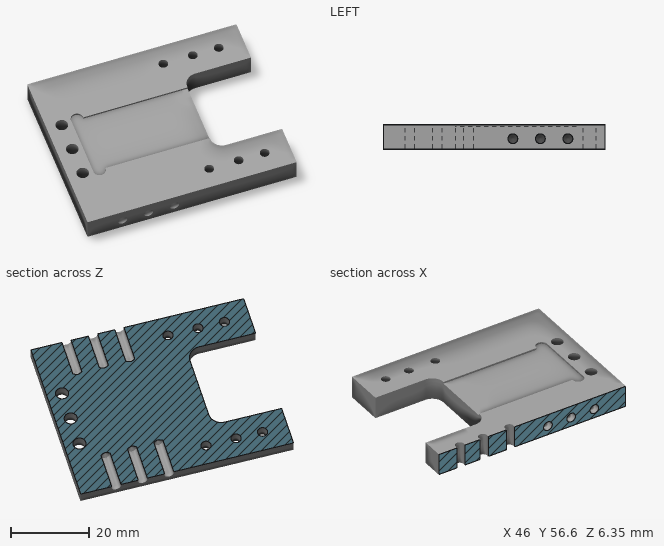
import cadquery as cq
import math

WIDTH = 46.0
LENGTH = 56.6
THICKNESS = 6.35

NOTCH_WIDTH = 23.75
NOTCH_DEPTH = 18.4
NOTCH_CORNER_DIAMETER = 6.5
NOTCH_FLOOR_Y = LENGTH - NOTCH_DEPTH

POCKET_WIDTH = 16.85
POCKET_DEPTH = 0.5
POCKET_FRONT_Y = 6.75
RELIEF_LENGTH = 20.35
RELIEF_WIDTH = 3.2

ARM_HOLE_DIAMETER = 2.5
ARM_HOLE_SPACING = 35.0
ARM_HOLE_YS = (34.85, 42.85, 49.85)
FRONT_HOLE_DIAMETER = 3.2
FRONT_HOLE_PITCH = 8.0
FRONT_HOLE_Y = 4.0

SIDE_HOLE_DIAMETER = 2.5
SIDE_HOLE_DEPTH = 10.0
SIDE_HOLE_PITCH = 7.0
SIDE_HOLE_FIRST_Y = 9.5
SIDE_HOLE_Z = 2.7
DRILL_POINT_ANGLE = 118.0
SIDE_HOLE_COUNT = 3


def make_plate():
    plate = cq.Workplane("XY").box(WIDTH, LENGTH, THICKNESS, centered=(True, False, False))
    notch = (
        cq.Workplane("XY")
        .center(0, NOTCH_FLOOR_Y)
        .box(NOTCH_WIDTH, NOTCH_DEPTH, THICKNESS, centered=(True, False, False))
        .edges("|Z and <Y")
        .fillet(NOTCH_CORNER_DIAMETER / 2)
    )
    return plate.cut(notch)


def make_pocket():
    floor = cq.Workplane("XY").workplane(offset=THICKNESS - POCKET_DEPTH)
    relief_y = POCKET_FRONT_Y + RELIEF_WIDTH / 2
    channel_length = NOTCH_FLOOR_Y - relief_y
    channel_y = relief_y + channel_length / 2
    channel = floor.center(0, channel_y).rect(POCKET_WIDTH, channel_length).extrude(POCKET_DEPTH)
    relief = floor.center(0, relief_y).slot2D(RELIEF_LENGTH, RELIEF_WIDTH).extrude(POCKET_DEPTH)
    return channel.union(relief)


def make_vertical_holes(points, diameter):
    return cq.Workplane("XY").pushPoints(points).circle(diameter / 2).extrude(THICKNESS)


def make_side_hole(y, side):
    """Blind hole with a conical end; side is -1 for the -X face and +1 for the +X face."""
    radius = SIDE_HOLE_DIAMETER / 2
    direction = cq.Vector(-side, 0, 0)
    mouth = cq.Vector(side * WIDTH / 2, y, SIDE_HOLE_Z)
    point_length = radius / math.tan(math.radians(DRILL_POINT_ANGLE / 2))
    bore = cq.Solid.makeCylinder(radius, SIDE_HOLE_DEPTH, mouth, direction)
    point = cq.Solid.makeCone(radius, 0, point_length, mouth + direction * SIDE_HOLE_DEPTH, direction)
    return bore.fuse(point)


arm_points = [(side * ARM_HOLE_SPACING / 2, y) for side in (-1, 1) for y in ARM_HOLE_YS]
front_points = [(step * FRONT_HOLE_PITCH, FRONT_HOLE_Y) for step in (-1, 0, 1)]

result = make_plate().cut(make_pocket())
result = result.cut(make_vertical_holes(arm_points, ARM_HOLE_DIAMETER))
result = result.cut(make_vertical_holes(front_points, FRONT_HOLE_DIAMETER))
for side in (-1, 1):
    for index in range(SIDE_HOLE_COUNT):
        result = result.cut(make_side_hole(SIDE_HOLE_FIRST_Y + index * SIDE_HOLE_PITCH, side))